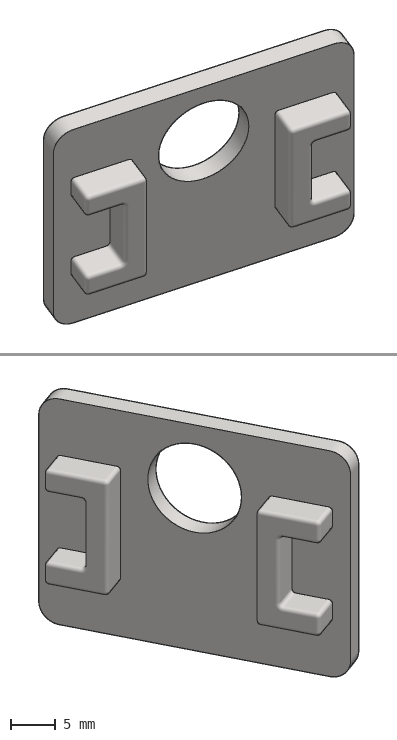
import cadquery as cq

plate_width = 37.3
plate_height = 28.7
plate_thickness = 2.5
plate_corner_radius = 2.5

hole_diameter = 11.2
hole_center_z = 6.3

overall_depth = 6.3
lug_depth = overall_depth - plate_thickness
lug_width = 7.65
lug_height = 14.55
lug_edge_margin = 2.15
lug_center_z = -0.07
lug_wall = 2.8
lug_edge_radius = 0.5

lug_outer_y = plate_width / 2 - lug_edge_margin
lug_center_y = lug_outer_y - lug_width / 2
notch_depth = lug_width - lug_wall
notch_height = lug_height - 2 * lug_wall


def make_plate():
    """Rounded rectangular plate with the round opening through it."""
    return (
        cq.Workplane("YZ")
        .rect(plate_width, plate_height)
        .extrude(plate_thickness)
        .edges("|X")
        .fillet(plate_corner_radius)
        .faces("<X")
        .workplane(origin=(0, 0, hole_center_z))
        .hole(hole_diameter)
    )


def make_lug():
    """C-shaped lug on the +Y side, with rounded corners and a rounded free end."""
    back_face = cq.Workplane("YZ", origin=(plate_thickness, 0, 0))
    block = back_face.center(lug_center_y, lug_center_z).rect(lug_width, lug_height).extrude(lug_depth)
    notch = (
        back_face.center(lug_outer_y - notch_depth / 2, lug_center_z)
        .rect(notch_depth, notch_height)
        .extrude(lug_depth)
    )
    lug = block.cut(notch)
    lug = lug.edges("|X").fillet(lug_edge_radius)
    return lug.faces(">X").edges().fillet(lug_edge_radius)


lug = make_lug()
result = make_plate().union(lug).union(lug.mirror("XZ"))